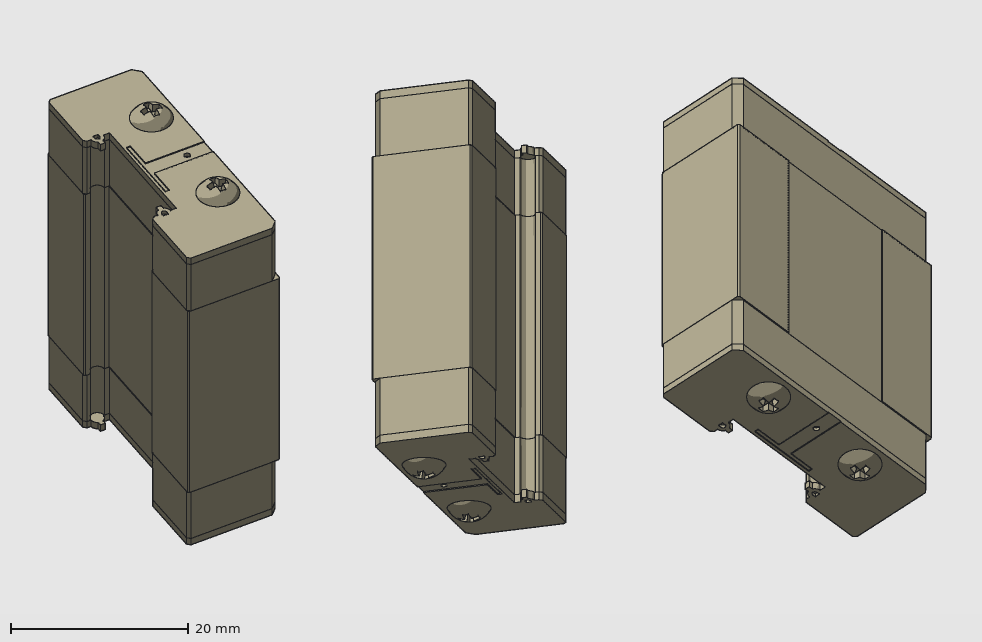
import cadquery as cq
import math

WIDTH = 32.0
DEPTH = 12.0
LENGTH = 45.2
FRONT_Y = -DEPTH / 2
BACK_Y = DEPTH / 2

SCREW_X = 7.55
SCREW_Y = 2.7
HEAD_RADIUS = 2.5
HEAD_HEIGHT = 1.45
CROSS_SPAN = 2.5
CROSS_WIDTH = 0.8
CROSS_DEPTH = 0.9
CROSS_TAPER = 10.0

BLOCK_LENGTH = 26.7
SEAL_LENGTH = 0.95
SEAL_OUTER_Z = LENGTH / 2 - HEAD_HEIGHT
SEAL_INNER_Z = SEAL_OUTER_Z - SEAL_LENGTH
BLOCK_END_Z = BLOCK_LENGTH / 2
CAP_LENGTH = SEAL_INNER_Z - BLOCK_END_Z

CHANNEL_HALF = 7.6

CAP_BACK_DROP = 0.15
CAP_BACK_Y = BACK_Y - CAP_BACK_DROP
CAP_CHANNEL_Y = -2.7
CAP_BACK_CHAMFER = 0.9
CAP_FRONT_CHAMFER = 0.35

BLOCK_CHAMFER = 0.2
BLOCK_CHANNEL_Y = -2.8
BACK_RECESS_HALF = 7.75

RACEWAY_Y = -4.3
RACEWAY_RADIUS = 0.9
LIP_RADIUS = 0.8
TONGUE_REACH = 1.25
TONGUE_WIDTH = 0.65
POCKET_RADIUS = 0.3
POCKET_REACH = 0.4
POCKET_DEPTH = 0.45

RECESS_DEPTH = 0.15
STEM_WIDTH = 2.05
FOOT_WIDTH = 8.9
FOOT_BOTTOM_Y = -2.3
FOOT_HEIGHT = 0.5
PORT_Y = 3.05
PORT_RADIUS = 0.35
PORT_DEPTH = 0.45


def channel_section(back_y, channel_y, back_chamfer, front_chamfer):
    """U-shaped closed outline with chamfered outer corners and leg tips."""
    right_half = [
        (CHANNEL_HALF, channel_y),
        (CHANNEL_HALF, FRONT_Y + front_chamfer),
        (CHANNEL_HALF + front_chamfer, FRONT_Y),
        (WIDTH / 2 - front_chamfer, FRONT_Y),
        (WIDTH / 2, FRONT_Y + front_chamfer),
        (WIDTH / 2, back_y - back_chamfer),
        (WIDTH / 2 - back_chamfer, back_y),
    ]
    left_half = [(-x, y) for x, y in reversed(right_half)]
    return cq.Workplane("XY").polyline(right_half + left_half).close()


def leg_face_cylinders(radius, length):
    """Two cylinders along Z, centred on the inner faces of the legs."""
    centres = [(-CHANNEL_HALF, RACEWAY_Y), (CHANNEL_HALF, RACEWAY_Y)]
    return cq.Workplane("XY").pushPoints(centres).circle(radius).extrude(length)


def leg_face_bars(inner_half, outer_half, width, length):
    """Two rectangular bars along Z, level with the raceways, between two distances from the middle."""
    centre_x = (inner_half + outer_half) / 2
    centres = [(-centre_x, RACEWAY_Y), (centre_x, RACEWAY_Y)]
    return cq.Workplane("XY").pushPoints(centres).rect(outer_half - inner_half, width).extrude(length)


def cap_section():
    """Outline shared by the end caps and the end seals."""
    return channel_section(CAP_BACK_Y, CAP_CHANNEL_Y, CAP_BACK_CHAMFER, CAP_FRONT_CHAMFER)


def make_block():
    """Steel block with raceways and a shallow recess along the middle of its back."""
    block = channel_section(BACK_Y, BLOCK_CHANNEL_Y, BLOCK_CHAMFER, BLOCK_CHAMFER).extrude(BLOCK_LENGTH)
    block = block.cut(leg_face_cylinders(RACEWAY_RADIUS, BLOCK_LENGTH))
    recess_outline = cq.Workplane("XY").center(0, BACK_Y - CAP_BACK_DROP / 2)
    back_recess = recess_outline.rect(2 * BACK_RECESS_HALF, CAP_BACK_DROP).extrude(BLOCK_LENGTH)
    return block.cut(back_recess).translate((0, 0, -BLOCK_END_Z))


def make_cap():
    """Upper end cap, standing on the end of the block."""
    cap = cap_section().extrude(CAP_LENGTH)
    cap = cap.cut(leg_face_cylinders(RACEWAY_RADIUS, CAP_LENGTH))
    return cap.translate((0, 0, BLOCK_END_Z))


def seal_lips():
    """Round plug and straight tongue on the inner face of each leg."""
    plugs = leg_face_cylinders(LIP_RADIUS, SEAL_LENGTH)
    tongues = leg_face_bars(CHANNEL_HALF - TONGUE_REACH, CHANNEL_HALF, TONGUE_WIDTH, SEAL_LENGTH)
    return plugs.union(tongues)


def lip_pockets():
    """Blind pockets in the lips, round towards the tongue and square towards the leg."""
    round_ends = leg_face_cylinders(POCKET_RADIUS, POCKET_DEPTH)
    square_ends = leg_face_bars(CHANNEL_HALF, CHANNEL_HALF + POCKET_REACH, 2 * POCKET_RADIUS, POCKET_DEPTH)
    return round_ends.union(square_ends).translate((0, 0, SEAL_LENGTH - POCKET_DEPTH))


def t_recess():
    """T-shaped cutter whose stem runs out through the back face."""
    stem_length = CAP_BACK_Y - FOOT_BOTTOM_Y
    stem_outline = cq.Workplane("XY").center(0, FOOT_BOTTOM_Y + stem_length / 2)
    stem = stem_outline.rect(STEM_WIDTH, stem_length).extrude(RECESS_DEPTH)
    foot_outline = cq.Workplane("XY").center(0, FOOT_BOTTOM_Y + FOOT_HEIGHT / 2)
    foot = foot_outline.rect(FOOT_WIDTH, FOOT_HEIGHT).extrude(RECESS_DEPTH)
    return stem.union(foot).translate((0, 0, SEAL_LENGTH - RECESS_DEPTH))


def make_seal():
    """Upper end seal, standing on the upper end cap."""
    seal = cap_section().extrude(SEAL_LENGTH).union(seal_lips()).cut(t_recess())
    port_bottom = SEAL_LENGTH - RECESS_DEPTH - PORT_DEPTH
    port = cq.Workplane("XY", origin=(0, PORT_Y, port_bottom)).circle(PORT_RADIUS).extrude(PORT_DEPTH)
    return seal.cut(port).cut(lip_pockets()).translate((0, 0, SEAL_INNER_Z))


def make_screw():
    """Domed head with a tapered cross recess, base centred on the origin."""
    corner_radius = CROSS_WIDTH / math.sqrt(2)
    sphere_drop = (HEAD_RADIUS**2 - corner_radius**2 - HEAD_HEIGHT**2) / (2 * HEAD_HEIGHT)
    sphere_radius = math.hypot(HEAD_RADIUS, sphere_drop)
    middle_angle = math.asin(HEAD_RADIUS / sphere_radius) / 2
    arc_middle = (sphere_radius * math.sin(middle_angle), sphere_radius * math.cos(middle_angle) - sphere_drop)
    head = (
        cq.Workplane("XZ")
        .lineTo(HEAD_RADIUS, 0)
        .threePointArc(arc_middle, (0, sphere_radius - sphere_drop))
        .close()
        .revolve(360, (0, 0, 0), (0, 1, 0))
    )
    rim_plane = cq.Workplane("XY", origin=(0, 0, HEAD_HEIGHT))
    for arm_x, arm_y in ((CROSS_SPAN, CROSS_WIDTH), (CROSS_WIDTH, CROSS_SPAN)):
        recess = rim_plane.rect(arm_x, arm_y).extrude(-CROSS_DEPTH, taper=CROSS_TAPER)
        dome_top = rim_plane.rect(arm_x, arm_y).extrude(HEAD_HEIGHT)
        head = head.cut(recess).cut(dome_top)
    return head


def both_ends(upper):
    """The upper body and its mirror copy at the lower end."""
    return [upper.val(), upper.mirror("XY").val()]


block = make_block()
caps = both_ends(make_cap())
seals = both_ends(make_seal())
screws = []
for screw_x in (-SCREW_X, SCREW_X):
    screws += both_ends(make_screw().translate((screw_x, SCREW_Y, SEAL_OUTER_Z)))

result = cq.Compound.makeCompound([block.val(), *caps, *seals, *screws])